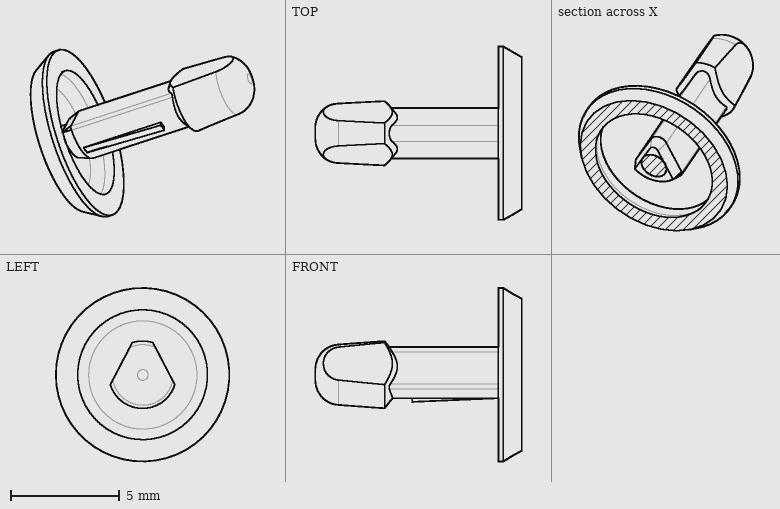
import cadquery as cq
import math

total_length = 9.54

plate_radius = 4.01
plate_back_radius = 3.51
plate_thickness = 1.09
plate_rim = 0.23
recess_radius = 3.0
recess_depth = 0.99
recess_fillet = 0.5
plate_front = total_length - plate_thickness
recess_floor = plate_front + recess_depth

tip_radius = 0.25
nose_radius = 1.15
head_taper = math.radians(4.2)
head_shoulder = 3.21
shoulder_slope = 1.25
head_back_radius = 0.48

flat_tilt = math.radians(27.6)
head_flat_distance = 1.11
shaft_flat_distance = 0.82

shaft_start = 2.29
taper_start = 8.62
taper_length = 0.57
taper_inset = 0.2
shaft_bottom = -1.09
bottom_arc_radius = 1.62
top_fillet = 0.42
side_fillet = 0.19
neck_radius = 0.63

fin_start = 4.47
fin_tip = -1.26
fin_width = 0.38
fin_bury = 0.19
fin_root = shaft_bottom + fin_bury


def revolve_about_x(profile):
    return profile.close().revolve(360, (0, 0, 0), (1, 0, 0))


def flat_peak(distance):
    """Height Z where the two slanted flats would meet above the axis."""
    return distance / math.sin(flat_tilt)


def nose_point(angle):
    """Point on the nose arc, its angle measured forward from straight outward."""
    return (
        nose_radius * (1 - math.sin(angle)),
        tip_radius + nose_radius * math.cos(angle),
    )


def make_head():
    nose_end = nose_point(head_taper)
    nose_middle = nose_point((head_taper + math.pi / 2) / 2)
    shoulder_radius = nose_end[1] + (head_shoulder - nose_end[0]) * math.tan(head_taper)
    head_end = head_shoulder + (shoulder_radius - head_back_radius) / shoulder_slope
    body = revolve_about_x(
        cq.Workplane("XY")
        .lineTo(0, tip_radius)
        .threePointArc(nose_middle, nose_end)
        .lineTo(head_shoulder, shoulder_radius)
        .lineTo(head_end, head_back_radius)
        .lineTo(head_end, 0)
    )
    base_z = -2 * shoulder_radius
    base_y = (head_flat_distance - base_z * math.sin(flat_tilt)) / math.cos(flat_tilt)
    envelope = (
        cq.Workplane("YZ")
        .moveTo(0, flat_peak(head_flat_distance))
        .lineTo(base_y, base_z)
        .lineTo(-base_y, base_z)
        .close()
        .extrude(head_end)
    )
    return body.intersect(envelope)


def make_shaft():
    arc_center = shaft_bottom + bottom_arc_radius
    center_gap = shaft_flat_distance - arc_center * math.sin(flat_tilt)
    corner_angle = flat_tilt - math.acos(center_gap / bottom_arc_radius)
    corner_y = bottom_arc_radius * math.cos(corner_angle)
    corner_z = arc_center + bottom_arc_radius * math.sin(corner_angle)
    bar = (
        cq.Workplane("YZ", origin=(shaft_start, 0, 0))
        .moveTo(0, flat_peak(shaft_flat_distance))
        .lineTo(corner_y, corner_z)
        .threePointArc((0, shaft_bottom), (-corner_y, corner_z))
        .close()
        .extrude(taper_start - shaft_start)
    )
    bar = bar.edges("|X").edges(">Z").fillet(top_fillet)
    bar = bar.edges("|X").edges("<Y or >Y").fillet(side_fillet)
    taper_angle = math.degrees(math.atan2(taper_inset, taper_length))
    tapered_end = (
        bar.faces(">X").wires().toPending().workplane()
        .extrude(taper_length, taper=taper_angle, combine=False)
    )
    neck_length = recess_floor - taper_start + (total_length - recess_floor) / 2
    neck = cq.Workplane("YZ", origin=(taper_start, 0, 0)).circle(neck_radius).extrude(neck_length)
    return bar.union(tapered_end).union(neck)


def make_fin():
    return (
        cq.Workplane("XZ")
        .moveTo(fin_start, fin_root)
        .lineTo(fin_start, fin_tip)
        .lineTo(plate_front, shaft_bottom)
        .lineTo(plate_front, fin_root)
        .close()
        .extrude(fin_width / 2, both=True)
    )


def make_plate():
    disc = revolve_about_x(
        cq.Workplane("XY")
        .moveTo(plate_front, 0)
        .lineTo(plate_front, plate_radius)
        .lineTo(plate_front + plate_rim, plate_radius)
        .lineTo(total_length, plate_back_radius)
        .lineTo(total_length, 0)
    )
    recess = (
        cq.Workplane("YZ", origin=(plate_front, 0, 0))
        .circle(recess_radius)
        .extrude(recess_depth)
        .faces(">X").edges().fillet(recess_fillet)
    )
    return disc.cut(recess)


result = make_plate().union(make_shaft()).union(make_fin()).union(make_head())